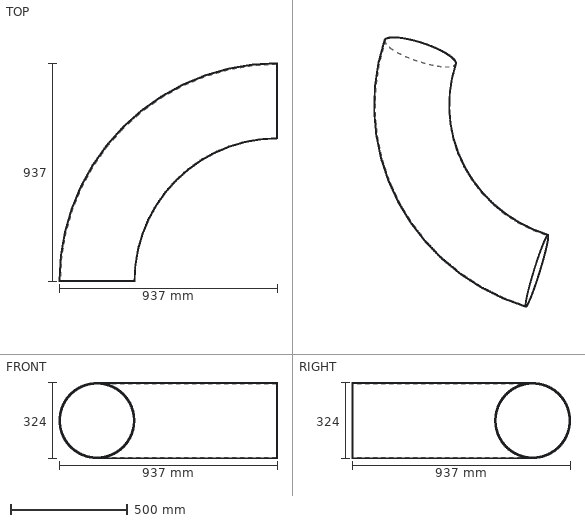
import cadquery as cq

overall_length = 937.0
outer_diameter = 324.0
wall = 4.0
bend_angle = 90.0

outer_radius = outer_diameter / 2
inner_radius = outer_radius - wall
bend_radius = overall_length - outer_radius

tube_section = cq.Workplane("XZ").circle(outer_radius).circle(inner_radius)

bend_axis_start = (bend_radius, outer_radius)
bend_axis_end = (bend_radius, -outer_radius)
result = tube_section.revolve(bend_angle, bend_axis_start, bend_axis_end)